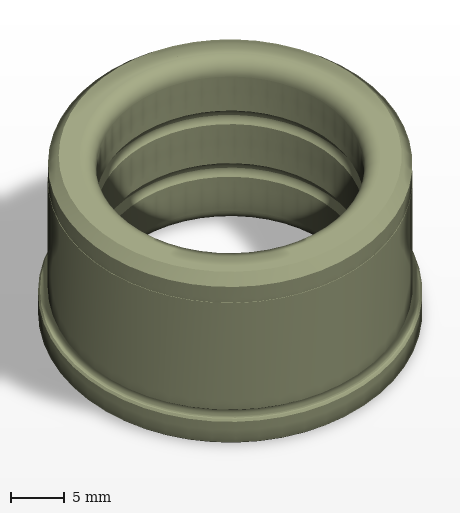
import cadquery as cq

height = 20.0
flange_radius = 17.9
flange_height = 3.0
flange_chamfer_width = 0.18
flange_chamfer_height = 0.2

body_radius = 17.0
lead_in_radius = 16.97
lead_in_length = 3.0
top_chamfer = 1.0
undercut_height = 0.5
undercut_bevel = 0.4
recess_mouth_radius = 17.58
recess_floor_radius = 17.25
recess_depth = 0.1

sleeve_radius = 14.5
bore_radius = 12.5
mouth_fillet = 1.5

groove_count = 2
groove_depth = 0.6
groove_floor = 0.5


def make_housing():
    """Flanged housing with a relieved lead-in and an undercut above the flange."""
    lead_in_bottom = height - lead_in_length
    undercut_top = flange_height + undercut_height
    recess_floor = flange_height - recess_depth

    bevel_end = (body_radius - undercut_bevel, undercut_top - undercut_bevel)

    return (
        cq.Workplane("XZ")
        .moveTo(sleeve_radius, 0)
        .lineTo(flange_radius - flange_chamfer_width, 0)
        .lineTo(flange_radius, flange_chamfer_height)
        .lineTo(flange_radius, flange_height - flange_chamfer_height)
        .lineTo(flange_radius - flange_chamfer_width, flange_height)
        .lineTo(recess_mouth_radius, flange_height)
        .lineTo(recess_floor_radius, recess_floor)
        .tangentArcPoint(bevel_end, relative=False)
        .lineTo(body_radius, undercut_top)
        .lineTo(body_radius, lead_in_bottom)
        .lineTo(lead_in_radius, lead_in_bottom)
        .lineTo(lead_in_radius, height - top_chamfer)
        .lineTo(lead_in_radius - top_chamfer, height)
        .lineTo(sleeve_radius, height)
        .close()
        .revolve(360, (0, 0, 0), (0, 1, 0))
    )


def make_groove_cutter(center_z):
    """Ring of trapezoidal section, with 45 degree flanks, cut into the bore."""
    half_floor = groove_floor / 2
    half_mouth = half_floor + groove_depth
    return (
        cq.Workplane("XZ")
        .moveTo(bore_radius, center_z - half_mouth)
        .lineTo(bore_radius + groove_depth, center_z - half_floor)
        .lineTo(bore_radius + groove_depth, center_z + half_floor)
        .lineTo(bore_radius, center_z + half_mouth)
        .close()
        .revolve(360, (0, 0, 0), (0, 1, 0))
    )


def make_sleeve():
    """Lining sleeve with rounded bore mouths and evenly spaced grooves."""
    sleeve = (
        cq.Workplane("XY")
        .circle(sleeve_radius)
        .circle(bore_radius)
        .extrude(height)
    )
    bore_mouths = cq.selectors.RadiusNthSelector(0)
    sleeve = sleeve.faces("<Z or >Z").edges(bore_mouths).fillet(mouth_fillet)
    groove_pitch = height / (groove_count + 1)
    for index in range(groove_count):
        sleeve = sleeve.cut(make_groove_cutter((index + 1) * groove_pitch))
    return sleeve


housing = make_housing()
sleeve = make_sleeve()
result = cq.Compound.makeCompound([housing.val(), sleeve.val()])